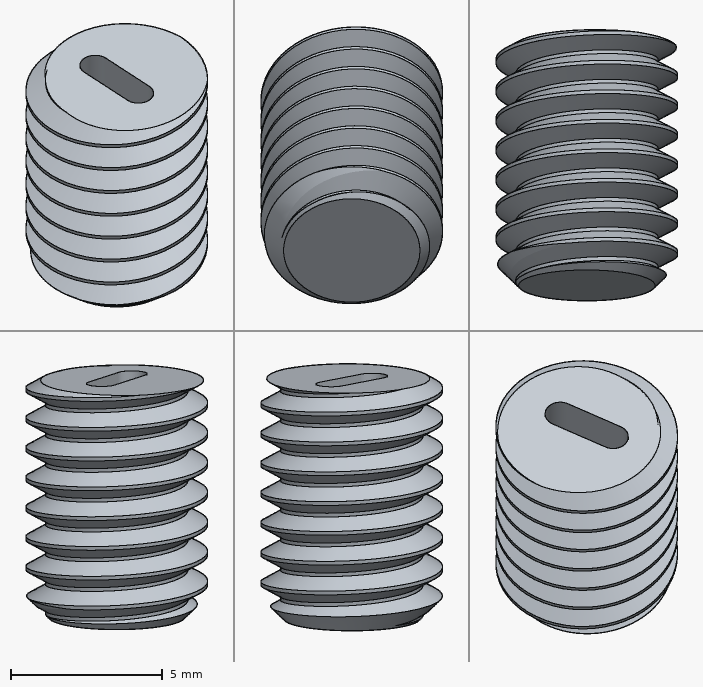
import cadquery as cq
import math

MAJOR_DIAMETER = 6.0
PITCH = 1.0
LENGTH = 8.0
FLANK_ANGLE = math.radians(30.0)
ROOT_FLAT = PITCH / 8
CREST_FLAT = PITCH / 8
CREST_START = 5 * PITCH / 16

CHAMFER = 0.75

SLOT_LENGTH = 3.0
SLOT_WIDTH = 1.0
SLOT_DEPTH = 2.0

RIDGE_EMBED = 0.06
EXTRA_TURNS = 2

major_radius = MAJOR_DIAMETER / 2
thread_depth = (PITCH - CREST_FLAT - ROOT_FLAT) / 2 / math.tan(FLANK_ANGLE)
root_radius = major_radius - thread_depth
bottom_radius = major_radius - CHAMFER


def make_envelope():
    """Cone widening at 45 degrees from the bottom face, which trims the chamfer and both ends."""
    return (
        cq.Workplane("XY")
        .circle(bottom_radius)
        .workplane(offset=LENGTH)
        .circle(bottom_radius + LENGTH)
        .loft(ruled=True)
    )


def make_ridge():
    """Right-handed thread ridge starting on the -X side and overrunning both ends."""
    start = CREST_START - EXTRA_TURNS * PITCH
    height = LENGTH + 2 * EXTRA_TURNS * PITCH
    inner_radius = root_radius - RIDGE_EMBED
    half_crest = CREST_FLAT / 2
    half_base = half_crest + (major_radius - inner_radius) * math.tan(FLANK_ANGLE)
    profile = (
        cq.Workplane("XZ")
        .moveTo(inner_radius, start - half_base)
        .lineTo(major_radius, start - half_crest)
        .lineTo(major_radius, start + half_crest)
        .lineTo(inner_radius, start + half_base)
        .close()
    )
    helix = cq.Wire.makeHelix(PITCH, height, root_radius, center=cq.Vector(0, 0, start))
    ridge = profile.sweep(cq.Workplane(obj=helix), isFrenet=True)
    return ridge.rotate((0, 0, 0), (0, 0, 1), 180)


def make_threaded_body():
    """Core at the root diameter joined to the ridge, both trimmed by the envelope."""
    envelope = make_envelope()
    core = cq.Workplane("XY").circle(root_radius).extrude(LENGTH).intersect(envelope)
    return core.union(make_ridge().intersect(envelope))


def make_slot():
    """Driver slot, sunk from the top face."""
    return (
        cq.Workplane("XY")
        .workplane(offset=LENGTH - SLOT_DEPTH)
        .slot2D(SLOT_LENGTH, SLOT_WIDTH)
        .extrude(SLOT_DEPTH)
    )


threaded_screw = make_threaded_body().cut(make_slot())
result = cq.Workplane(obj=threaded_screw.solids().val())